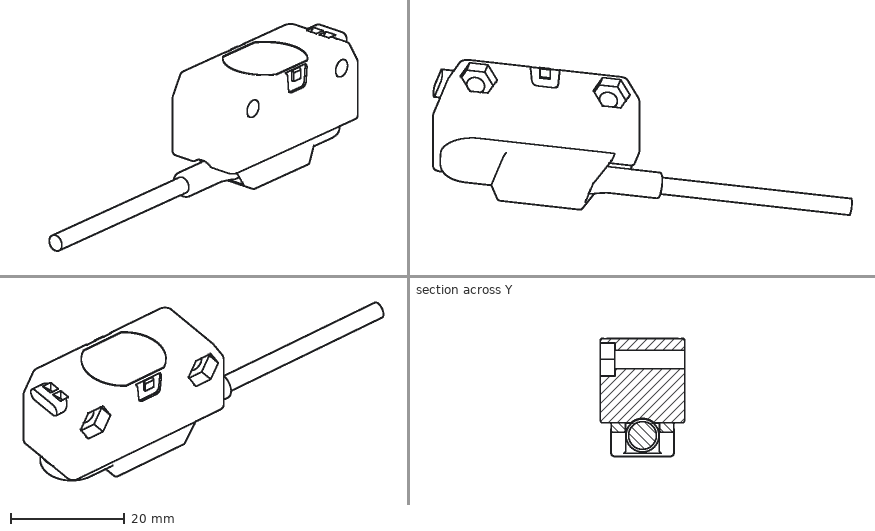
import cadquery as cq
import math


housing_width = 15.0
housing_length = 34.75
housing_height = 15.0
corner_radius = 1.5
edge_radius = 0.5
lower_edge_radius = 0.6
slope_run = 2.25
slope_angle = 60
slope_drop = slope_run * math.tan(math.radians(slope_angle))
slope_edge_radius = 1.0
side_x = -housing_width / 2
mid_y = housing_length / 2

window_diameter = housing_width
window_flats = 12.4
window_depth = 0.15

hole_spacing = 24.05
hole_z = 11.3
hole_diameter = 3.2
nut_flats = 5.8
nut_corners = 6.65
nut_depth = 2.6

clip_depth = 0.45
clip_top_width = 5.4
clip_bottom_width = 4.6
clip_height = 4.0
clip_corner_radius = 1.0
catch_width = 1.9
catch_height = 2.1
catch_bevel_run = 0.3
catch_bevel_drop = 0.45

tab_width = 7.55
tab_height = 2.3
tab_overhang = 0.45
tab_length = 3.7
notch_width = 2.25
notch_gap = 0.7
notch_rear_y = 33.5
notch_front_y = 31.7
notch_depth = 1.8

base_width = 11.2
plate_thickness = 2.9
block_depth = 5.9
block_rear_top_y = 24.4
block_rear_bottom_y = 23.2
block_front_bottom_y = 8.15
block_front_top_y = 4.3
base_edge_radius = 0.75
base_rear_y = 34.6
slot_width = 6.0
slot_end_y = 7.8
slot_rim_radius = 0.3

cable_z = -2.2
cable_radius = 1.5
cable_end_y = -39.5
sleeve_radius = 2.3
sleeve_end_y = -5.1
sleeve_end_radius = 0.45
cone_start_y = 4.25
cone_radius = 2.9
channel_radius = 3.0


def rear_facing_disc(y, radius):
    """Circle around the cable axis at y, ready to extrude toward +Y."""
    plane = cq.Plane(origin=(0, y, cable_z), xDir=(-1, 0, 0), normal=(0, 1, 0))
    return cq.Workplane(plane).circle(radius)


def housing_block():
    """Block with sloped upper ends and rounded corners."""
    profile = [
        (0, 0),
        (housing_length, 0),
        (housing_length, housing_height - slope_drop),
        (housing_length - slope_run, housing_height),
        (slope_run, housing_height),
        (0, housing_height - slope_drop),
    ]
    block = cq.Workplane("YZ").polyline(profile).close().extrude(housing_width / 2, both=True)
    block = block.edges("not (|X or |Y)").fillet(corner_radius)
    slope_bends = cq.selectors.BoxSelector(
        (-housing_width, -0.75, housing_height - slope_drop - 0.4),
        (housing_width, housing_length + 0.75, housing_height - slope_drop + 0.4),
    )
    block = block.edges(slope_bends).edges("|X").fillet(slope_edge_radius)
    return block.faces(">Z").edges().fillet(edge_radius)


def cable_channel():
    return rear_facing_disc(0, channel_radius).extrude(slot_end_y)


def window_recess():
    floor = cq.Workplane("XY", origin=(0, mid_y, housing_height - window_depth))
    disc = floor.circle(window_diameter / 2).extrude(window_depth)
    return disc.intersect(floor.rect(window_flats, window_diameter).extrude(window_depth))


def nut_pocket(y):
    """Cross hole through the housing with a hexagonal nut pocket in the -X side."""
    side = cq.Workplane("YZ", origin=(side_x, y, hole_z))
    half_side = nut_corners / 2 - nut_flats / 2 / math.tan(math.radians(60))
    hexagon = [
        (-nut_corners / 2, 0),
        (-half_side, nut_flats / 2),
        (half_side, nut_flats / 2),
        (nut_corners / 2, 0),
        (half_side, -nut_flats / 2),
        (-half_side, -nut_flats / 2),
    ]
    pocket = side.polyline(hexagon).close().extrude(nut_depth)
    return pocket.union(side.circle(hole_diameter / 2).extrude(housing_width))


def clip_recess():
    """Tapered recess with rounded lower corners, cut into the -X side."""
    outline = [
        (-clip_top_width / 2, 0),
        (clip_top_width / 2, 0),
        (clip_bottom_width / 2, -clip_height),
        (-clip_bottom_width / 2, -clip_height),
    ]
    side = cq.Workplane("YZ", origin=(side_x, mid_y, housing_height))
    recess = side.polyline(outline).close().extrude(clip_depth)
    return recess.edges("|X").edges("<Z").fillet(clip_corner_radius)


def clip_catch():
    """Block standing on the floor of the -X clip recess, with a bevelled top edge."""
    profile = [
        (0, -catch_height),
        (clip_depth, -catch_height),
        (clip_depth, 0),
        (catch_bevel_run, 0),
        (0, -catch_bevel_drop),
    ]
    section = cq.Workplane("XZ", origin=(side_x, mid_y, housing_height))
    return section.polyline(profile).close().extrude(catch_width / 2, both=True)


def indicator_tab():
    rear = cq.Workplane("XZ", origin=(0, housing_length + tab_overhang, housing_height - tab_height / 2))
    return rear.slot2D(tab_width, tab_height).extrude(tab_length)


def indicator_notch(x):
    """Notch whose floor falls toward -Y."""
    outline = [
        (notch_rear_y, housing_height),
        (notch_front_y, housing_height),
        (notch_front_y, housing_height - notch_depth),
    ]
    return cq.Workplane("YZ", origin=(x, 0, 0)).polyline(outline).close().extrude(notch_width / 2, both=True)


def make_housing():
    housing = housing_block().cut(cable_channel())
    mouth_rim = cq.selectors.NearestToPointSelector((0, 0, cable_z + channel_radius))
    lower_edges = cq.selectors.BoxSelector((-housing_width, -0.75, -0.75), (housing_width, housing_length + 0.75, 0.1))
    housing = housing.edges(lower_edges + mouth_rim).fillet(lower_edge_radius)
    housing = housing.cut(window_recess())
    for direction in (-1, 1):
        housing = housing.cut(nut_pocket(mid_y + direction * hole_spacing / 2))
    recess = clip_recess()
    housing = housing.cut(recess).cut(recess.mirror("YZ"))
    catch = clip_catch()
    housing = housing.union(catch).union(catch.mirror("YZ"))
    housing = housing.union(indicator_tab())
    for direction in (-1, 1):
        housing = housing.cut(indicator_notch(direction * (notch_width + notch_gap) / 2))
    return housing


def cable_slot():
    """Straight slot in the sloped front of the base, around the cone."""
    corner = cq.Workplane("XY", origin=(0, 0, -block_depth))
    return corner.box(slot_width, slot_end_y, block_depth, centered=(True, False, False))


def base_shell():
    """Plate with a round rear end and a deeper block below it."""
    profile = [
        (block_front_top_y, 0),
        (base_rear_y, 0),
        (base_rear_y, -plate_thickness),
        (block_rear_top_y, -plate_thickness),
        (block_rear_bottom_y, -block_depth),
        (block_front_bottom_y, -block_depth),
    ]
    shell = cq.Workplane("YZ").polyline(profile).close().extrude(base_width / 2, both=True)
    rear_center_y = base_rear_y - base_width / 2
    plan = (
        cq.Workplane("XY")
        .moveTo(-base_width / 2, 0)
        .lineTo(-base_width / 2, rear_center_y)
        .threePointArc((0, base_rear_y), (base_width / 2, rear_center_y))
        .lineTo(base_width / 2, 0)
        .close()
        .extrude(-block_depth)
    )
    shell = shell.intersect(plan)
    lower_edges = cq.selectors.BoxSelector(
        (-base_width, block_front_bottom_y - 0.75, -block_depth - 0.75),
        (base_width, housing_length + 0.75, -plate_thickness + 0.1),
    )
    inner_corner = cq.selectors.NearestToPointSelector((0, block_rear_top_y, -plate_thickness))
    shell = shell.edges(lower_edges - inner_corner).fillet(base_edge_radius).cut(cable_slot())
    slot_rims = cq.selectors.BoxSelector(
        (-slot_width, block_front_top_y + 0.1, -block_depth + 0.1),
        (slot_width, slot_end_y - 0.1, -0.1),
    )
    return shell.edges(slot_rims).edges("not |X").fillet(slot_rim_radius)


def cable_exit():
    """Cable, sleeve and the cone that joins the sleeve to the base."""
    cable = rear_facing_disc(cable_end_y, cable_radius).extrude(sleeve_end_y - cable_end_y)
    sleeve = rear_facing_disc(sleeve_end_y, sleeve_radius).extrude(cone_start_y - sleeve_end_y)
    sleeve = sleeve.faces("<Y").edges().fillet(sleeve_end_radius)
    cone_length = slot_end_y - cone_start_y
    cone = rear_facing_disc(cone_start_y, sleeve_radius)
    cone = cone.workplane(offset=cone_length).circle(cone_radius).loft()
    return cable.union(sleeve).union(cone)


def make_base():
    return base_shell().union(cable_exit())


housing = make_housing()
base = make_base()
result = cq.Compound.makeCompound([housing.val(), base.val()])